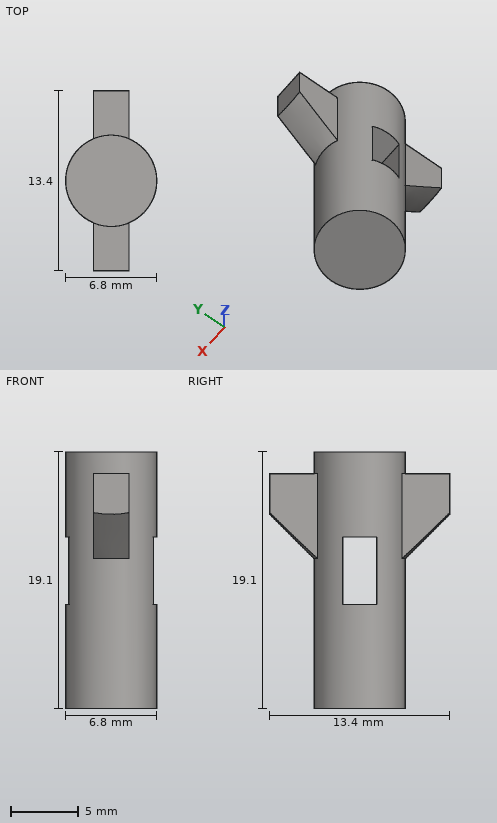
import cadquery as cq

pin_diameter = 6.8
pin_height = 19.1

window_width = 2.5
window_height = 5.0
window_bottom = 7.75

fin_span = 13.4
fin_thickness = 2.65
fin_top = 17.5
fin_root_bottom = 11.15

pin_radius = pin_diameter / 2
cone_apex = fin_root_bottom - pin_radius
fin_height = fin_top - cone_apex


def make_fins():
    """Slab across the pin, trimmed below by a cone about the pin axis."""
    slab = (
        cq.Workplane("XY", origin=(0, 0, cone_apex))
        .rect(fin_thickness, fin_span)
        .extrude(fin_height)
    )
    cone = (
        cq.Workplane("XZ")
        .moveTo(0, cone_apex)
        .lineTo(fin_height, fin_top)
        .lineTo(0, fin_top)
        .close()
        .revolve(360, (0, 0, 0), (0, 1, 0))
    )
    return slab.intersect(cone)


def make_window():
    """Cutting block for the window through the pin."""
    return (
        cq.Workplane("XY", origin=(0, 0, window_bottom))
        .rect(pin_diameter, window_width)
        .extrude(window_height)
    )


pin = cq.Workplane("XY").circle(pin_radius).extrude(pin_height)
result = pin.union(make_fins()).cut(make_window())